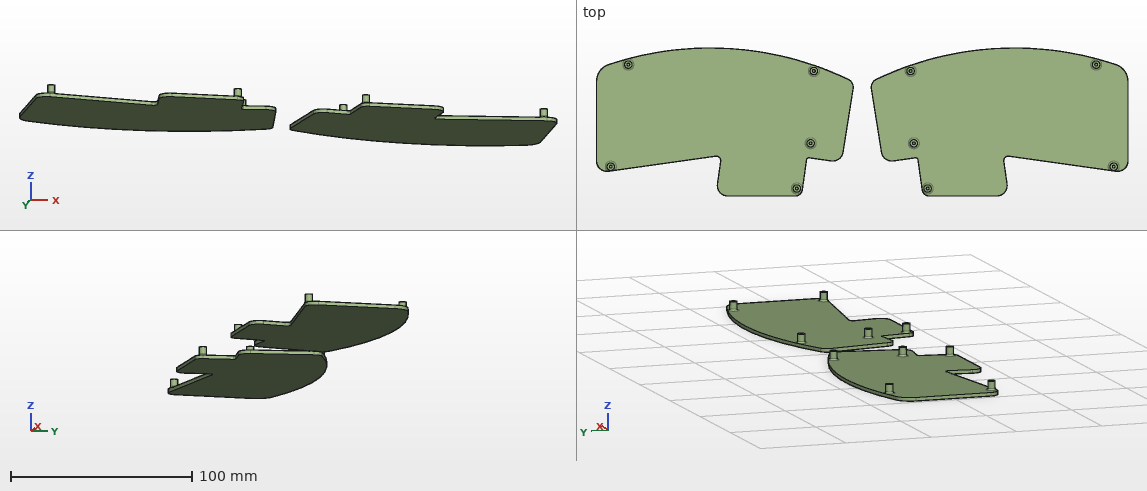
import cadquery as cq
import math

half_length = 146.8
depth = 82.0
plate_thickness = 2.0
post_height = 5.0

lean_slope = math.tan(math.radians(8))
y_back = depth / 2
y_front = -depth / 2
back_arc_radius = 176.2
back_arc_x = -84.0
tab_outer_x = -77.8
tab_outer_y = -18.5
tab_inner_x = -30.5
tab_inner_y = -19.7
inner_corner_x = -11.5
inner_end_x = -4.5

back_outer_radius = 10.0
back_inner_radius = 5.0
front_inner_radius = 6.0
tab_inner_radius = 4.0
tab_outer_radius = 6.0
tab_root_radius = 2.3
tab_inner_root_radius = 1.2
front_outer_radius = 6.0

post_radius = 4.0 / 2
hole_radius = 1.6 / 2
foot_radius = 1.0
post_places = [
    (-129.2, 31.7),
    (-26.7, 28.2),
    (-28.5, -11.7),
    (-36.0, -36.7),
    (-139.0, -24.7),
]


def back_arc_y(x):
    """Height of the back arc at x."""
    drop = back_arc_radius - math.sqrt(back_arc_radius**2 - (x - back_arc_x) ** 2)
    return y_back - drop


def plate_outline(height):
    """Left-hand plate shape with rounded corners, raised from z = 0 to height."""
    back_outer = (-half_length, back_arc_y(-half_length))
    back_inner = (inner_end_x, back_arc_y(inner_end_x))
    front_inner = (inner_corner_x, tab_inner_y - (inner_corner_x - tab_inner_x) * lean_slope)
    root_inner = (tab_inner_x, tab_inner_y)
    tab_inner = (tab_inner_x - (tab_inner_y - y_front) * lean_slope, y_front)
    tab_outer = (tab_outer_x - (tab_outer_y - y_front) * lean_slope, y_front)
    root_outer = (tab_outer_x, tab_outer_y)
    front_outer = (-half_length, tab_outer_y - (tab_outer_x + half_length) * lean_slope)

    plate = (
        cq.Workplane("XY")
        .moveTo(*back_outer)
        .threePointArc((back_arc_x, y_back), back_inner)
        .lineTo(*front_inner)
        .lineTo(*root_inner)
        .lineTo(*tab_inner)
        .lineTo(*tab_outer)
        .lineTo(*root_outer)
        .lineTo(*front_outer)
        .close()
        .extrude(height)
    )
    rounded_corners = [
        (back_outer, back_outer_radius),
        (back_inner, back_inner_radius),
        (front_inner, front_inner_radius),
        (root_inner, tab_inner_root_radius),
        (tab_inner, tab_inner_radius),
        (tab_outer, tab_outer_radius),
        (root_outer, tab_root_radius),
        (front_outer, front_outer_radius),
    ]
    for (x, y), radius in rounded_corners:
        corner = cq.selectors.NearestToPointSelector((x, y, height / 2))
        plate = plate.edges("|Z").edges(corner).fillet(radius)
    return plate


def make_post(place):
    """Hollow round post standing on the plate, its foot flared by a concave round."""
    foot_end = post_radius + foot_radius
    mid_offset = foot_radius * (1 - math.sqrt(0.5))
    return (
        cq.Workplane("XZ")
        .moveTo(hole_radius, 0)
        .lineTo(foot_end, 0)
        .threePointArc((post_radius + mid_offset, mid_offset), (post_radius, foot_radius))
        .lineTo(post_radius, post_height)
        .lineTo(hole_radius, post_height)
        .close()
        .revolve(360, (0, 0, 0), (0, 1, 0))
        .translate((place[0], place[1], plate_thickness))
    )


def make_plate():
    """Left-hand plate with its posts, the feet trimmed flush with the plate edge."""
    plate = plate_outline(plate_thickness)
    trim = plate_outline(plate_thickness + post_height)
    for place in post_places:
        plate = plate.union(make_post(place).intersect(trim))
    return plate


left_plate = make_plate()
right_plate = left_plate.mirror("YZ")

result = cq.Compound.makeCompound([left_plate.val(), right_plate.val()])